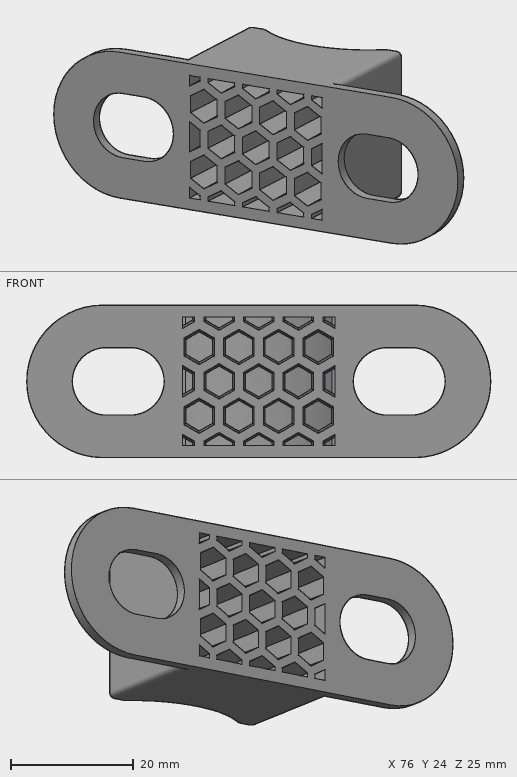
import cadquery as cq
import math

PLATE_LENGTH = 76.0
PLATE_HEIGHT = 25.0
PLATE_THICKNESS = 2.0

SLOT_LENGTH = 15.0
SLOT_HEIGHT = 11.0
SLOT_OFFSET = 23.0

BLOCK_WIDTH = 29.0
BLOCK_BACK = 24.0
SADDLE_RADIUS = 17.5
SADDLE_DEPTH = 4.0
SADDLE_AXIS = BLOCK_BACK - SADDLE_DEPTH + SADDLE_RADIUS
SIDE_FILLET = 1.0
BACK_FILLET = 1.5
SELECTION_MARGIN = 1.0

SIDE_WALL = 2.0
BACK_WALL = 2.5
CORE_WIDTH = BLOCK_WIDTH - 2 * SIDE_WALL
CORE_HEIGHT = PLATE_HEIGHT - 2 * SIDE_WALL

CELL_SIDES = 6
CELL_FLATS = 5.0
CELL_GAP = 1.5
CELL_DRAFT = 1.0
HALF_SECTOR = 180.0 / CELL_SIDES
CELL_CORNERS = CELL_FLATS / math.cos(math.radians(HALF_SECTOR))
COLUMN_PITCH = CELL_FLATS + CELL_GAP
ROW_PITCH = COLUMN_PITCH * math.cos(math.radians(HALF_SECTOR))
ROWS_EACH_SIDE = 2
COLUMNS_EACH_SIDE = 3


def plate_face():
    """XZ work plane through the origin, with extrusion along +Y and local axes (-X, Z)."""
    return cq.Workplane(cq.Plane(origin=(0, 0, 0), xDir=(-1, 0, 0), normal=(0, 1, 0)))


def saddled_box(width, height, back, saddle_radius):
    """Box from the plate face to the given Y, its back hollowed around the saddle axis."""
    box = plate_face().rect(width, height).extrude(back)
    tube = cq.Workplane("XY", origin=(0, SADDLE_AXIS, -height / 2)).circle(saddle_radius).extrude(height)
    return box.cut(tube)


def make_plate():
    """Obround plate with one slot on each side of the block."""
    plate = plate_face().slot2D(PLATE_LENGTH, PLATE_HEIGHT).extrude(PLATE_THICKNESS)
    slots = (
        plate_face()
        .pushPoints([(-SLOT_OFFSET, 0), (SLOT_OFFSET, 0)])
        .slot2D(SLOT_LENGTH, SLOT_HEIGHT)
        .extrude(PLATE_THICKNESS)
    )
    return plate.cut(slots)


def make_block():
    """Block with its back face and saddle rim rounded first, then its four edges along Y."""
    block = saddled_box(BLOCK_WIDTH, PLATE_HEIGHT, BLOCK_BACK, SADDLE_RADIUS)
    back_half = cq.selectors.BoxSelector(
        (-BLOCK_WIDTH, BLOCK_BACK / 2 + SELECTION_MARGIN, -PLATE_HEIGHT),
        (BLOCK_WIDTH, BLOCK_BACK + SELECTION_MARGIN, PLATE_HEIGHT),
    )
    block = block.edges(back_half).fillet(BACK_FILLET)
    return block.edges("|Y").fillet(SIDE_FILLET)


def cell_centres():
    """Staggered grid, odd rows shifted by half a pitch, covering the whole core."""
    centres = []
    for row in range(-ROWS_EACH_SIDE, ROWS_EACH_SIDE + 1):
        shift = COLUMN_PITCH / 2 if row % 2 else 0
        for column in range(-COLUMNS_EACH_SIDE, COLUMNS_EACH_SIDE + 1):
            centres.append((column * COLUMN_PITCH + shift, row * ROW_PITCH))
    return centres


def make_honeycomb():
    """Drafted cells trimmed to the core, whose back keeps an even wall behind the saddle."""
    core = saddled_box(CORE_WIDTH, CORE_HEIGHT, BLOCK_BACK - BACK_WALL, SADDLE_RADIUS + BACK_WALL)
    cell = (
        plate_face()
        .transformed(rotate=(0, 0, HALF_SECTOR))
        .polygon(CELL_SIDES, CELL_CORNERS)
        .extrude(BLOCK_BACK, taper=CELL_DRAFT)
    )
    cells = cq.Workplane("XY")
    for x, z in cell_centres():
        cells = cells.add(cell.translate((x, 0, z)))
    return core.intersect(cells.combine())


result = make_plate().union(make_block()).cut(make_honeycomb())